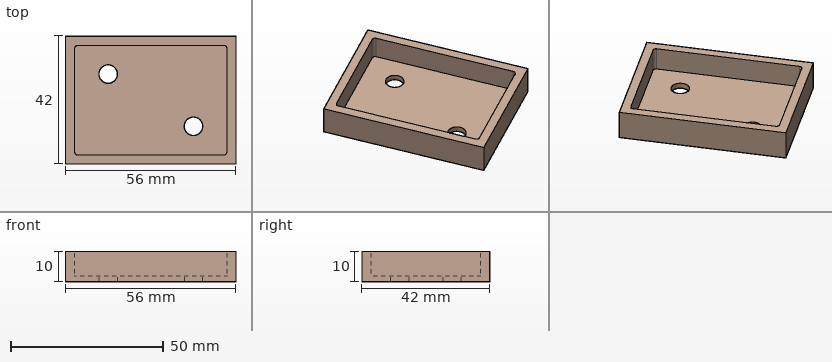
import cadquery as cq

length = 56.0
width = 42.0
height = 10.0

wall = 3.0
floor = 2.0
corner_radius = 1.0

hole_diameter = 6.0
hole_offset_x = length / 4
hole_offset_y = 8.55
hole_centres = [(-hole_offset_x, hole_offset_y), (hole_offset_x, -hole_offset_y)]


def make_block():
    """Solid block centred in X and Y, standing on Z = 0."""
    return cq.Workplane("XY").box(length, width, height, centered=(True, True, False))


def make_pocket():
    """Volume removed above the floor, with rounded vertical corners."""
    return (
        cq.Workplane("XY", origin=(0, 0, floor))
        .rect(length - 2 * wall, width - 2 * wall)
        .extrude(height - floor)
        .edges("|Z")
        .fillet(corner_radius)
    )


def make_holes():
    """Cylinders that pierce the floor."""
    return (
        cq.Workplane("XY")
        .pushPoints(hole_centres)
        .circle(hole_diameter / 2)
        .extrude(height)
    )


result = make_block().cut(make_pocket()).cut(make_holes())